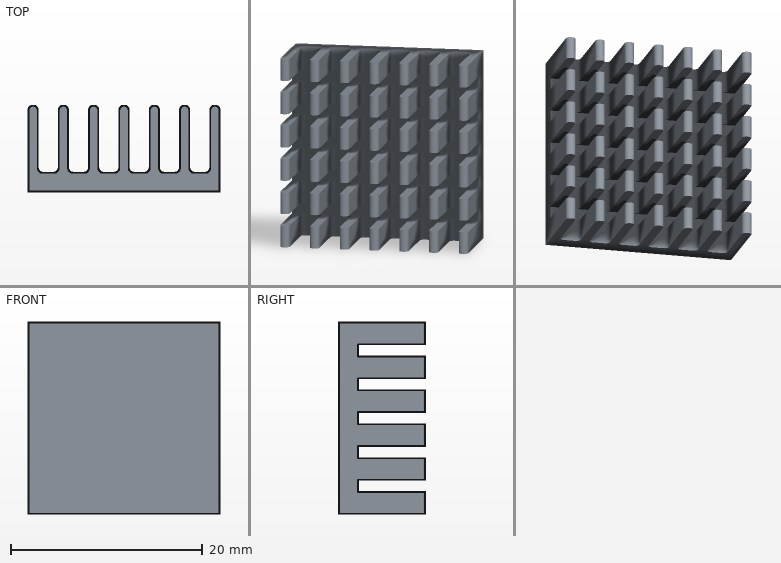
import cadquery as cq

width = 20.0
depth = 9.0
height = 20.0

base_thickness = 2.0
fin_count = 7
fin_thickness = 1.0
tip_radius = 0.49
root_radius = 0.5
fin_pitch = (width - fin_thickness) / (fin_count - 1)
fin_gap = fin_pitch - fin_thickness
fin_length = depth - base_thickness

slot_count = 5
slot_width = 1.25
pin_height = (height - slot_count * slot_width) / (slot_count + 1)
slot_pitch = pin_height + slot_width

base_front = -depth / 2
fin_root = base_front + base_thickness
fin_tip = depth / 2


def box_from(x, y, z, size_x, size_y, size_z):
    """Box placed by its minimum corner."""
    return cq.Workplane("XY").box(size_x, size_y, size_z, centered=False).translate((x, y, z))


def make_fin_gap(index):
    """Full-height channel between two fins, rounded at its floor."""
    left = -width / 2 + fin_thickness + index * fin_pitch
    channel = box_from(left, fin_root, -height / 2, fin_gap, fin_length, height)
    return channel.edges("|Z and <Y").fillet(root_radius)


def make_finned_body():
    """Base plate with straight fins whose tips are rounded."""
    body = box_from(-width / 2, base_front, -height / 2, width, depth, height)
    for index in range(fin_count - 1):
        body = body.cut(make_fin_gap(index))
    return body.faces(">Y").edges("|Z").fillet(tip_radius)


def make_cross_slot(index):
    """Square-cornered slot across all fins, down to the base plate."""
    bottom = -height / 2 + pin_height + index * slot_pitch
    return box_from(-width / 2, fin_root, bottom, width, fin_length, slot_width)


result = make_finned_body()
for slot_index in range(slot_count):
    result = result.cut(make_cross_slot(slot_index))